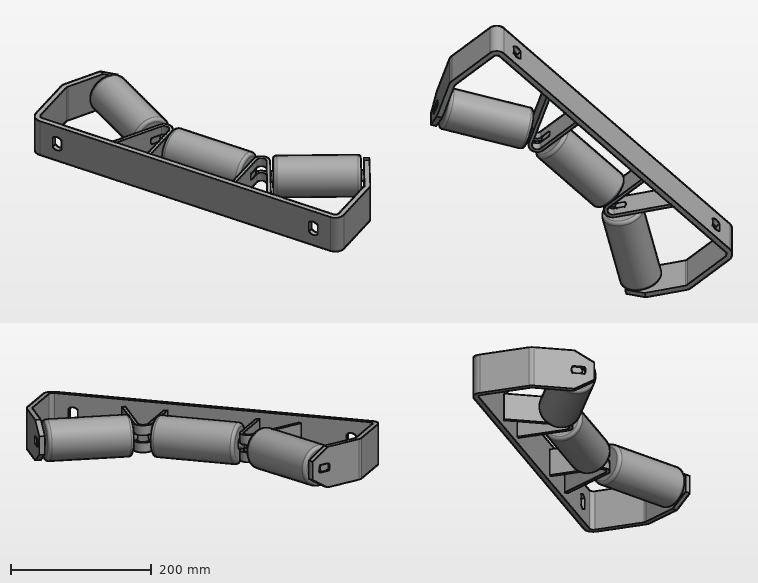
import cadquery as cq
import math

overall_length = 500.0
overall_height = 170.5
bar_width = 60.0
bar_thickness = 8.0
bar_bend_radius = 14.0
arm_angle = 60.0
arm_corner_height = 91.5
tip_chamfer_length = 28.5
tip_chamfer_depth = 16.5

mount_slot_spacing = 416.0
mount_slot_width = 14.0
mount_slot_height = 23.0
mount_slot_end_rise = 3.5

bracket_width = 40.0
bracket_thickness = 5.0
bracket_bend_radius = 12.5

roller_diameter = 60.0
roller_length = 125.0
roller_edge_radius = 5.0
roller_gap = 133.0
shaft_diameter = 16.0
shoulder_clearance = 1.0
shaft_flat_width = 11.0
shaft_slot_length = 20.5
centre_roller_height = 71.0
side_roller_position = 66.5

half_length = overall_length / 2
slot_cut_depth = 2 * bar_thickness
arm_cos = math.cos(math.radians(arm_angle))
arm_sin = math.sin(math.radians(arm_angle))
arm_length = (overall_height - arm_corner_height) / arm_sin
arm_corner = cq.Vector(-half_length, arm_corner_height)
arm_direction = cq.Vector(arm_cos, arm_sin)
side_axis = cq.Vector(arm_sin, -arm_cos)
arm_tip = arm_corner + arm_direction * arm_length
side_roller_centre = (arm_corner + arm_direction * side_roller_position
                      + side_axis * (bar_thickness + roller_gap / 2))


def mirrored(point):
    return cq.Vector(-point.x, point.y)


def bent_strip(corners, outer_radius, thickness, width):
    """Bent bar following the outer edge `corners`; every bend turns left and metal lies on the left."""
    directions = [(end - start).normalized() for start, end in zip(corners, corners[1:])]
    normals = [cq.Vector(-d.y, d.x) for d in directions]
    bends = []
    for corner, d_in, n_in, n_out in zip(corners[1:], directions, normals, normals[1:]):
        half_turn = n_in.getAngle(n_out) / 2
        centre = corner - d_in * (outer_radius * math.tan(half_turn)) + n_in * outer_radius
        bends.append((centre, n_in, (n_in + n_out).normalized(), n_out))

    inner_radius = outer_radius - thickness
    outline = cq.Workplane("XY").moveTo(corners[0].x, corners[0].y)
    for centre, n_in, n_mid, n_out in bends:
        start, middle, end = [centre - n * outer_radius for n in (n_in, n_mid, n_out)]
        outline = outline.lineTo(start.x, start.y).threePointArc((middle.x, middle.y), (end.x, end.y))
    inner_end = corners[-1] + normals[-1] * thickness
    inner_start = corners[0] + normals[0] * thickness
    outline = outline.lineTo(corners[-1].x, corners[-1].y).lineTo(inner_end.x, inner_end.y)
    for centre, n_in, n_mid, n_out in reversed(bends):
        start, middle, end = [centre - n * inner_radius for n in (n_out, n_mid, n_in)]
        outline = outline.lineTo(start.x, start.y).threePointArc((middle.x, middle.y), (end.x, end.y))
    outline = outline.lineTo(inner_start.x, inner_start.y).close()
    return outline.extrude(width).translate((0, 0, -width / 2))


def round_ended_prism(plane, length, width, end_rise, depth):
    """Prism with straight sides along the plane's x direction and shallow arcs as its ends."""
    straight = length / 2 - end_rise
    side = width / 2
    return (
        cq.Workplane(plane)
        .moveTo(-straight, -side)
        .lineTo(straight, -side)
        .threePointArc((length / 2, 0), (straight, side))
        .lineTo(-straight, side)
        .threePointArc((-length / 2, 0), (-straight, -side))
        .close()
        .extrude(depth / 2, both=True)
    )


def at_centre(shape):
    return shape.translate((0, centre_roller_height, 0))


def at_left(shape):
    return shape.rotate((0, 0, 0), (0, 0, 1), arm_angle - 90).translate(side_roller_centre)


def at_right(shape):
    return shape.rotate((0, 0, 0), (0, 0, 1), 90 - arm_angle).translate(mirrored(side_roller_centre))


shaft_end_rise = (shaft_diameter - math.sqrt(shaft_diameter**2 - shaft_flat_width**2)) / 2


def cylinder_along_x(diameter, length):
    return cq.Workplane("YZ").workplane(offset=-length / 2).circle(diameter / 2).extrude(length)


def make_roller():
    """Rounded shell on a shaft; the flatted shaft ends finish flush with the far face of a bracket leg."""
    shell = cylinder_along_x(roller_diameter, roller_length).edges("%CIRCLE").fillet(roller_edge_radius)
    shaft = cylinder_along_x(shaft_diameter, roller_gap - 2 * shoulder_clearance)
    flatted_length = roller_gap + 2 * bracket_thickness
    flatted_ends = round_ended_prism("YZ", shaft_diameter, shaft_flat_width, shaft_end_rise, flatted_length)
    return shell.union(shaft).union(flatted_ends)


def make_shaft_slots():
    """Cutter for the slots at both ends of a roller; the shaft rests on the slot bottom."""
    lift = (shaft_slot_length - shaft_diameter) / 2
    reach = roller_gap + 2 * slot_cut_depth
    cutter = round_ended_prism("YZ", shaft_slot_length, shaft_flat_width, shaft_end_rise, reach)
    return cutter.translate((0, lift, 0))


def make_frame():
    base_corner = cq.Vector(-half_length, 0)
    left_side = [arm_tip, arm_corner, base_corner]
    right_side = [mirrored(point) for point in reversed(left_side)]
    frame = bent_strip(left_side + right_side, bar_bend_radius, bar_thickness, bar_width)

    for sign, tip in ((1, arm_tip), (-1, mirrored(arm_tip))):
        arm_plane = cq.Plane(tip.toTuple(), (sign * arm_cos, arm_sin, 0), (-sign * arm_sin, arm_cos, 0))
        half_width = bar_width / 2
        for edge in (1, -1):
            corner = (
                cq.Workplane(arm_plane)
                .moveTo(0, edge * half_width)
                .lineTo(-tip_chamfer_length, edge * half_width)
                .lineTo(0, edge * (half_width - tip_chamfer_depth))
                .close()
                .extrude(bar_thickness, both=True)
            )
            frame = frame.cut(corner)
        upright_plane = cq.Plane.named("XZ").rotated((0, 0, 90))
        mount_slot = round_ended_prism(upright_plane, mount_slot_height,
                                       mount_slot_width, mount_slot_end_rise, 2 * slot_cut_depth)
        frame = frame.cut(mount_slot.translate((sign * mount_slot_spacing / 2, 0, 0)))

    for place in (at_left, at_right):
        frame = frame.cut(place(make_shaft_slots()))
    return frame


def make_left_bracket():
    """Upright leg beside the centre roller, folded back into a leg square to the left roller."""
    upright_x = -roller_gap / 2
    leg_point = side_roller_centre + side_axis * (roller_gap / 2)
    apex = cq.Vector(upright_x, leg_point.y + (upright_x - leg_point.x) * arm_sin / arm_cos)
    foot_height = bar_thickness + bracket_thickness * arm_cos
    foot = apex - arm_direction * ((apex.y - foot_height) / arm_sin)
    upright_foot = cq.Vector(upright_x, bar_thickness)
    corners = [upright_foot, apex, foot]
    bracket = bent_strip(corners, bracket_bend_radius, bracket_thickness, bracket_width)
    bracket = bracket.cut(at_left(make_shaft_slots())).cut(at_centre(make_shaft_slots()))
    drop_in_slot = (
        cq.Workplane("XY")
        .polyline([(upright_x, centre_roller_height), apex.toTuple()[:2], leg_point.toTuple()[:2]])
        .close()
        .extrude(shaft_flat_width / 2, both=True)
    )
    return bracket.cut(drop_in_slot)


frame = make_frame()
left_bracket = make_left_bracket()
brackets = [left_bracket, left_bracket.mirror("YZ")]
rollers = [place(make_roller()) for place in (at_left, at_centre, at_right)]

result = cq.Compound.makeCompound([body.val() for body in [frame, *brackets, *rollers]])